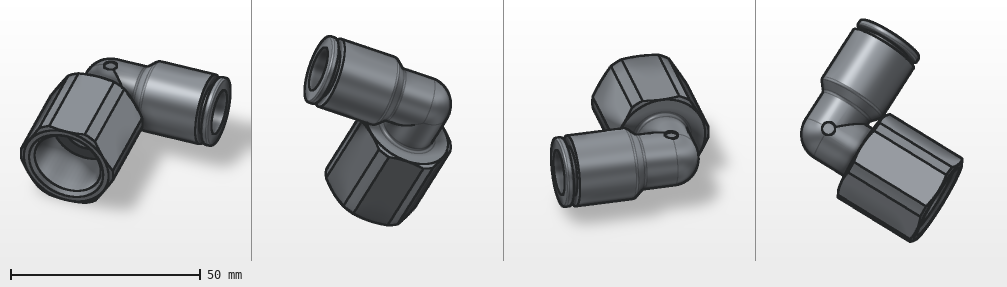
import cadquery as cq


elbow_radius = 7.3
passage_radius = 6.0
badge_radius = 1.75
badge_floor = 6.75

across_flats = 24.0
corner_radius = 13.0
half_sector = 360 / 12
nut_start = 10.4
nut_end = 34.18
nut_end_radius = 11.9
nut_chamfer_length = 0.6
socket_radius = 9.3
socket_mouth_radius = 10.45
socket_depth = 14.85
mouth_chamfer_length = socket_mouth_radius - socket_radius
flare_size = 0.9

port_radius = 9.47
cone_start = 8.8
cone_end = 11.5
port_end = 27.25
cone_blend = 1.1
collar_neck_radius = 6.6
collar_radius = 9.25
collar_start = 28.7
collar_end = 30.55
collar_fillet = 0.5


def along_nut(radius, start, end):
    """Cylinder on the nut axis between two distances from the elbow centre."""
    return cq.Workplane("XZ").workplane(offset=start).circle(radius).extrude(end - start)


def along_port(radius, start, end):
    """Cylinder on the port axis between two distances from the elbow centre."""
    return cq.Workplane("YZ").workplane(offset=start).circle(radius).extrude(end - start)


def make_nut():
    """Hexagon with flats at top and bottom, its corners turned round and chamfered."""
    hexagon = (
        cq.Workplane("XZ").workplane(offset=nut_start)
        .polygon(6, across_flats, circumscribed=True).extrude(nut_end - nut_start)
        .rotate((0, 0, 0), (0, 1, 0), half_sector)
    )
    turned_envelope = (
        cq.Workplane("XY")
        .moveTo(0, -nut_start)
        .lineTo(nut_end_radius, -nut_start)
        .lineTo(corner_radius, -nut_start - nut_chamfer_length)
        .lineTo(corner_radius, -nut_end + nut_chamfer_length)
        .lineTo(nut_end_radius, -nut_end)
        .lineTo(0, -nut_end)
        .close()
        .revolve(360, (0, 0, 0), (0, 1, 0))
    )
    return hexagon.intersect(turned_envelope)


def make_flare():
    """Concave blend from the elbow arm onto the back of the nut."""
    flare_start = nut_start - flare_size
    mid_offset = flare_size * (1 - 0.5 ** 0.5)
    return (
        cq.Workplane("XY")
        .moveTo(0, -flare_start)
        .lineTo(elbow_radius, -flare_start)
        .threePointArc(
            (elbow_radius + mid_offset, -nut_start + mid_offset),
            (elbow_radius + flare_size, -nut_start),
        )
        .lineTo(0, -nut_start)
        .close()
        .revolve(360, (0, 0, 0), (0, 1, 0))
    )


def make_port():
    """Arm widening through a blended cone into the port body."""
    port = (
        cq.Workplane("XY")
        .lineTo(0, elbow_radius)
        .lineTo(cone_start, elbow_radius)
        .lineTo(cone_end, port_radius)
        .lineTo(port_end, port_radius)
        .lineTo(port_end, 0)
        .close()
        .revolve(360, (0, 0, 0), (1, 0, 0))
    )
    cone_region = cq.selectors.BoxSelector(
        (cone_start - 0.45, -port_radius, -port_radius),
        (cone_end + 0.45, port_radius, port_radius),
        boundingbox=False,
    )
    return port.edges("%CIRCLE").edges(cone_region).fillet(cone_blend)


def make_collar():
    """Release collar: a narrow neck carrying a rounded flange."""
    neck = along_port(collar_neck_radius, port_end, collar_start)
    flange = along_port(collar_radius, collar_start, collar_end)
    return neck.union(flange.edges("%CIRCLE").fillet(collar_fillet))


def make_passage():
    """Round passage turning the corner from the nut to the open end of the collar."""
    return (
        cq.Workplane("XY").sphere(passage_radius)
        .union(along_nut(passage_radius, 0, nut_end))
        .union(along_port(passage_radius, 0, collar_end))
    )


def make_socket():
    """Plain socket in the nut with a chamfered mouth."""
    socket = along_nut(socket_radius, nut_end - socket_depth, nut_end)
    mouth = (
        cq.Workplane("XZ").workplane(offset=nut_end).circle(socket_mouth_radius)
        .workplane(offset=-mouth_chamfer_length).circle(socket_radius).loft()
    )
    return socket.union(mouth)


def make_badge_recess():
    """Shallow flat-bottomed round recess on top of the elbow."""
    return (
        cq.Workplane("XY").workplane(offset=badge_floor)
        .circle(badge_radius).extrude(elbow_radius - badge_floor)
    )


outer_body = (
    cq.Workplane("XY").sphere(elbow_radius)
    .union(along_nut(elbow_radius, 0, nut_start))
    .union(make_flare())
    .union(make_nut())
    .union(make_port())
    .union(make_collar())
)

result = outer_body.cut(make_passage()).cut(make_socket()).cut(make_badge_recess())